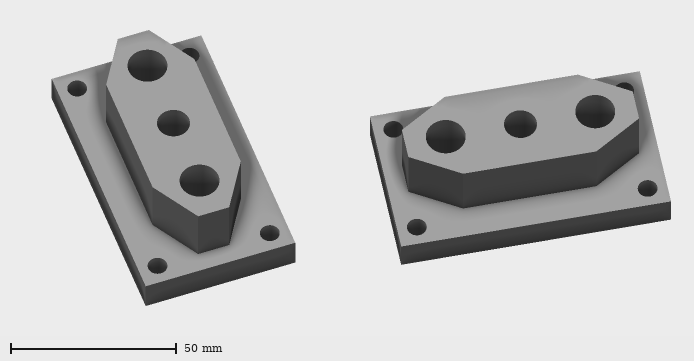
import cadquery as cq

plate_length = 83
plate_width = 48.0
plate_thickness = 10.0
total_height = 29.0

boss_length = 71.0
boss_width = 28.3
boss_side_flat = 41.0
boss_end_flat = 10.0

center_hole_diameter = 10.0
outer_hole_diameter = 12.0
outer_hole_spacing = 46.0
mount_hole_diameter = 6.0
mount_spacing_x = boss_length
mount_spacing_y = 36.0


def make_plate():
    return cq.Workplane("XY").box(
        plate_length, plate_width, plate_thickness, centered=(True, True, False)
    )


def make_boss():
    """Octagonal prism standing on the base plane, running up through the plate."""
    half_length = boss_length / 2
    half_width = boss_width / 2
    half_side = boss_side_flat / 2
    half_end = boss_end_flat / 2
    outline = [
        (half_length, -half_end),
        (half_length, half_end),
        (half_side, half_width),
        (-half_side, half_width),
        (-half_length, half_end),
        (-half_length, -half_end),
        (-half_side, -half_width),
        (half_side, -half_width),
    ]
    return cq.Workplane("XY").polyline(outline).close().extrude(total_height)


def through_holes(diameter, centers):
    return cq.Workplane("XY").pushPoints(centers).circle(diameter / 2).extrude(total_height)


outer_hole_centers = [(side * outer_hole_spacing / 2, 0) for side in (-1, 1)]
mount_hole_centers = [
    (side_x * mount_spacing_x / 2, side_y * mount_spacing_y / 2)
    for side_x in (-1, 1)
    for side_y in (-1, 1)
]

result = (
    make_plate()
    .union(make_boss())
    .cut(through_holes(center_hole_diameter, [(0, 0)]))
    .cut(through_holes(outer_hole_diameter, outer_hole_centers))
    .cut(through_holes(mount_hole_diameter, mount_hole_centers))
)